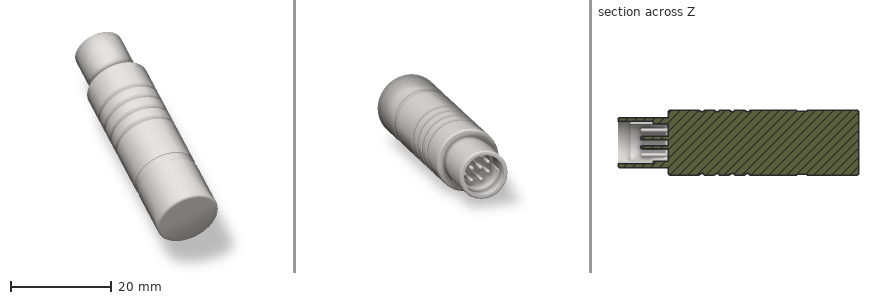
import cadquery as cq
import math

length = 48.0
body_diameter = 13.0
body_radius = body_diameter / 2

plug_length = 10.0
plug_radius = 5.05
edge_round = 0.5

groove_count = 4
first_groove_start = 16.1
groove_pitch = 3.0
groove_width = 1.05
groove_slope_depth = 0.3

band_start = 35.65
band_width = 1.95
band_depth = 0.15

mouth_radius = 4.2
mouth_depth = 7.0
key_start = 2.5
socket_radius = 3.7
socket_depth = 10.0

pin_radius = 0.4
pin_length = 5.45
pin_root = 0.4
ring_pin_count = 8
pin_ring_radius = 2.7
centre_pin_offset = 0.9


def cylinder_along_x(start, span, radius):
    return cq.Workplane("YZ", origin=(start, 0, 0)).circle(radius).extrude(span)


def make_shell():
    plug = cylinder_along_x(0, plug_length, plug_radius).faces("<X").edges().fillet(edge_round)
    body = cylinder_along_x(plug_length, length - plug_length, body_radius).edges().fillet(edge_round)
    return body.union(plug)


def make_grip_groove(start):
    """Ring cut into the body: a straight slope down, then a tangent arc back up to the surface."""
    middle = start + groove_width / 2
    end = start + groove_width
    profile = (
        cq.Workplane("XY")
        .moveTo(start, body_radius)
        .lineTo(middle, body_radius - groove_slope_depth)
        .tangentArcPoint((end, body_radius), relative=False)
        .close()
    )
    return profile.revolve(360, (0, 0, 0), (1, 0, 0))


def make_band():
    outer = cylinder_along_x(band_start, band_width, body_radius + band_depth)
    return outer.cut(cylinder_along_x(band_start, band_width, body_radius - band_depth))


def make_key():
    """Half ring lining the lower half of the mouth, with flat ends at mid height."""
    profile = cq.Workplane("XY").moveTo(key_start, socket_radius)
    profile = profile.lineTo(mouth_depth, socket_radius)
    profile = profile.lineTo(mouth_depth, mouth_radius).lineTo(key_start, mouth_radius).close()
    return profile.revolve(180, (0, 0, 0), (-1, 0, 0))


def make_pin(y, z):
    """Round pin with a domed tip facing the mouth of the socket."""
    tip = socket_depth - pin_length
    profile = (
        cq.Workplane("XY")
        .moveTo(tip, 0)
        .radiusArc((tip + pin_radius, pin_radius), pin_radius)
        .lineTo(socket_depth + pin_root, pin_radius)
        .lineTo(socket_depth + pin_root, 0)
        .close()
    )
    return profile.revolve(360, (0, 0, 0), (1, 0, 0)).translate((0, y, z))


def pin_positions():
    step = 2 * math.pi / ring_pin_count
    angles = [(index + 0.5) * step for index in range(ring_pin_count)]
    ring = [(pin_ring_radius * math.cos(a), pin_ring_radius * math.sin(a)) for a in angles]
    return ring + [(-centre_pin_offset, 0), (centre_pin_offset, 0)]


result = make_shell()
for index in range(groove_count):
    result = result.cut(make_grip_groove(first_groove_start + index * groove_pitch))
result = result.cut(make_band())
result = result.cut(cylinder_along_x(0, mouth_depth, mouth_radius))
result = result.union(make_key())
result = result.cut(cylinder_along_x(0, socket_depth, socket_radius))
for y, z in pin_positions():
    result = result.union(make_pin(y, z))